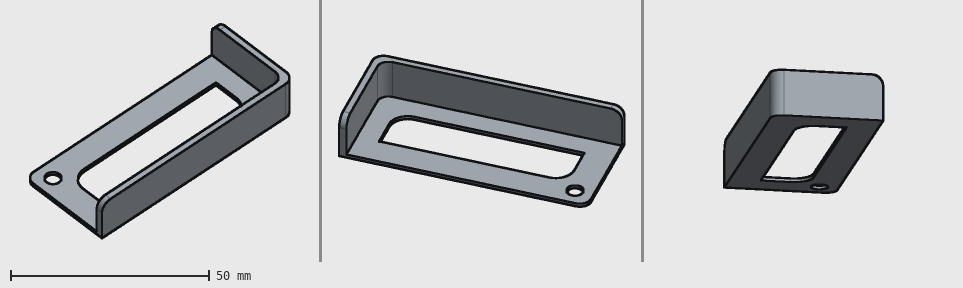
import cadquery as cq

length = 66.4
width = 28.5
height = 12.0

wall = 2.0
floor = 1.0
corner_radius = 3.0
window_radius = 5.0

FAR_CORNER = "(|Z) and (>(1, 1, 0))"
DIAGONAL_CORNERS = "(|Z) and (<(1, 1, 0) or >(1, 1, 0))"

window_inset = 7.95
hole_inset = 5.0
hole_diameter = 4.3


def angle_block():
    """Floor with upright walls along the +X and +Y edges."""
    block = cq.Workplane("XY").box(width, length, height, centered=False)
    block = block.edges(DIAGONAL_CORNERS).fillet(corner_radius)
    cavity = (
        cq.Workplane("XY", origin=(0, 0, floor))
        .rect(2 * (width - wall), 2 * (length - wall))
        .extrude(height)
        .edges(FAR_CORNER)
        .fillet(corner_radius)
    )
    return block.cut(cavity)


def round_wall_ends(body):
    """Round the upper corner at the free end of each wall."""
    x_wall_end = cq.selectors.NearestToPointSelector((width - wall / 2, 0, height))
    y_wall_end = cq.selectors.NearestToPointSelector((0, length - wall / 2, height))
    return body.edges(x_wall_end).fillet(corner_radius).edges(y_wall_end).fillet(corner_radius)


def window():
    """Rectangular opening with two diagonally opposite corners rounded."""
    return (
        cq.Workplane("XY")
        .center(width / 2, length / 2)
        .rect(width - 2 * window_inset, length - 2 * window_inset)
        .extrude(floor)
        .edges(DIAGONAL_CORNERS)
        .fillet(window_radius)
    )


def corner_hole():
    return cq.Workplane("XY").center(hole_inset, hole_inset).circle(hole_diameter / 2).extrude(floor)


result = round_wall_ends(angle_block()).cut(window()).cut(corner_hole())